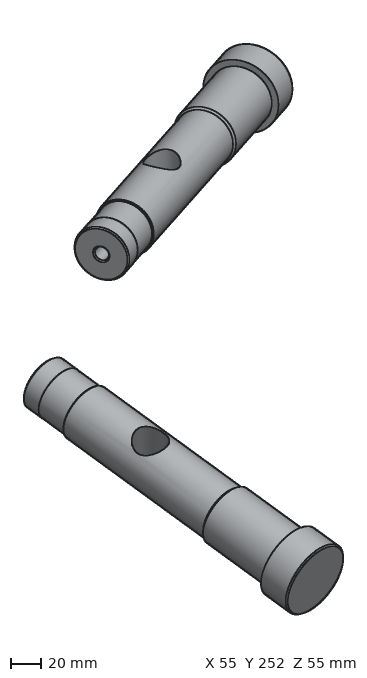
import cadquery as cq
import math

length = 252.0
head_diameter = 55.0
shoulder_diameter = 45.0
body_diameter = 42.0
tip_diameter = 40.0
neck_diameter = 39.8

head_length = 24.0
shoulder_length = 60.0
tip_length = 38.0
neck_length = 23.5

head_chamfer = 1.0
shoulder_chamfer = 1.5
body_chamfer = 0.5
tip_chamfer = 1.0

cross_hole_diameter = 25.0
cross_hole_from_tip = 99.0

bore_diameter = 10.0
bore_mouth_diameter = 12.0
bore_depth = 24.0
bore_point_angle = 118

tip_face = -length / 2
head_face = length / 2


def cylinder(diameter, start, end):
    """Solid cylinder on the Y axis between two Y positions."""
    plane = cq.Workplane("XZ", origin=(0, end, 0))
    return plane.circle(diameter / 2).extrude(end - start)


def cone(base_diameter, start, height):
    """Pointed cone on the Y axis with its apex toward +Y."""
    base = cq.Vector(0, start, 0)
    toward_head = cq.Vector(0, 1, 0)
    return cq.Workplane(cq.Solid.makeCone(base_diameter / 2, 0, height, base, toward_head))


head_start = head_face - head_length
shoulder_start = head_start - shoulder_length
body_start = tip_face + tip_length
neck_start = body_start - neck_length

head = cylinder(head_diameter, head_start, head_face).faces(">Y").chamfer(head_chamfer)
shoulder = cylinder(shoulder_diameter, shoulder_start, head_start).faces("<Y").chamfer(shoulder_chamfer)
body = cylinder(body_diameter, body_start, shoulder_start).faces("<Y").chamfer(body_chamfer)
tip = cylinder(tip_diameter, tip_face, neck_start).faces("<Y").chamfer(tip_chamfer)

neck = cylinder(neck_diameter, neck_start, body_start)

pin = head.union(shoulder).union(body).union(neck).union(tip)

cross_hole = (
    cq.Workplane("XY", origin=(0, tip_face + cross_hole_from_tip, -head_diameter / 2))
    .circle(cross_hole_diameter / 2)
    .extrude(head_diameter)
)

bore_end = tip_face + bore_depth
mouth_depth = bore_mouth_diameter / 2
point_depth = bore_diameter / 2 / math.tan(math.radians(bore_point_angle / 2))
bore = (
    cylinder(bore_diameter, tip_face, bore_end)
    .union(cone(bore_mouth_diameter, tip_face, mouth_depth))
    .union(cone(bore_diameter, bore_end, point_depth))
)

result = pin.cut(cross_hole).cut(bore)